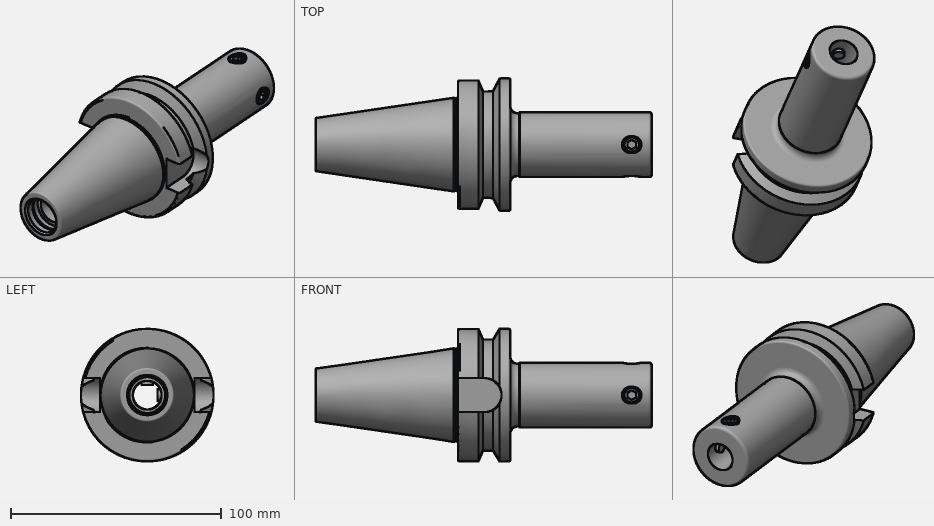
import cadquery as cq
import math

total_length = 159.4
gauge_x = 65.4
flange_x = 67.5
rear_land_end = 77.1
groove_start = 79.4
groove_end = 84.2
front_land_start = 87.2
flange_end = 92.3
neck_end = 96.5

taper_small_dia = 25.5
taper_large_dia = 44.5
relief_dia = 44.0
relief_fillet = 0.5
relief_step = 0.6
flange_dia = 63.0
groove_dia = 53.0
neck_dia = 30.0
neck_fillet = 3.2
shank_dia = 31.0
taper_edge = 0.8
flange_edge = 1.0
shank_start_edge = (shank_dia - neck_dia) / 2
shank_end_edge = 1.5

bore_dia = 13.5
mouth_dia = 17.0
mouth_depth = 8.6
mouth_edge_dia = 19.1
inner_mouth_dia = 17.5
mouth_edge = (mouth_edge_dia - mouth_dia) / 2
undercut_x = 4.8
undercut_dia = 18.0
undercut_width = 0.8

slot_width = 16.1
slot_floor = 22.5
slot_end = 88.1

screw_x = 149.8
screw_dia = 8.0
screw_top_dia = 6.9
screw_length = 10.2
screw_tip = 4.8
point_dia = 5.5
point_length = 4.0
screw_top = screw_tip + screw_length
top_edge = (screw_dia - screw_top_dia) / 2
socket_flats = 4.0
socket_depth = 2.4
sink_start = 14.8
sink_height = 1.6
screw_turns = (0, 90)


def turned_blank():
    """Taper, flange with gripper groove, neck and shank, revolved about X."""
    taper_r = taper_small_dia / 2
    relief_r = relief_dia / 2
    flange_r = flange_dia / 2
    groove_r = groove_dia / 2
    neck_r = neck_dia / 2
    shank_r = shank_dia / 2
    flange_shoulder_r = flange_r - flange_edge
    return (
        cq.Workplane("XY")
        .moveTo(0, 0)
        .lineTo(0, taper_r - taper_edge)
        .radiusArc((taper_edge, taper_r), taper_edge)
        .lineTo(gauge_x, taper_large_dia / 2)
        .lineTo(gauge_x + relief_step, relief_r)
        .lineTo(flange_x - relief_fillet, relief_r)
        .radiusArc((flange_x, relief_r + relief_fillet), -relief_fillet)
        .lineTo(flange_x, flange_shoulder_r)
        .radiusArc((flange_x + flange_edge, flange_r), flange_edge)
        .lineTo(rear_land_end, flange_r)
        .lineTo(groove_start, groove_r)
        .lineTo(groove_end, groove_r)
        .lineTo(front_land_start, flange_r)
        .lineTo(flange_end - flange_edge, flange_r)
        .radiusArc((flange_end, flange_shoulder_r), flange_edge)
        .lineTo(flange_end, neck_r + neck_fillet)
        .radiusArc((flange_end + neck_fillet, neck_r), -neck_fillet)
        .lineTo(neck_end, neck_r)
        .lineTo(neck_end + shank_start_edge, shank_r)
        .lineTo(total_length - shank_end_edge, shank_r)
        .radiusArc((total_length, shank_r - shank_end_edge), shank_end_edge)
        .lineTo(total_length, 0)
        .close()
        .revolve(360, (0, 0, 0), (1, 0, 0))
    )


def stepped_bore():
    """Chamfered mouth, undercut and plain through bore."""
    mouth_r = mouth_dia / 2
    undercut_r = undercut_dia / 2
    inner_mouth_r = inner_mouth_dia / 2
    undercut_end = undercut_x + undercut_width
    bore_r = bore_dia / 2
    return (
        cq.Workplane("XY")
        .moveTo(0, 0)
        .lineTo(0, mouth_edge_dia / 2)
        .lineTo(mouth_edge, mouth_r)
        .lineTo(undercut_x, mouth_r)
        .lineTo(undercut_x, undercut_r)
        .lineTo(undercut_end, undercut_r)
        .lineTo(undercut_end, inner_mouth_r)
        .lineTo(mouth_depth, inner_mouth_r)
        .lineTo(mouth_depth, bore_r)
        .lineTo(total_length, bore_r)
        .lineTo(total_length, 0)
        .close()
        .revolve(360, (0, 0, 0), (1, 0, 0))
    )


def drive_slot(side):
    """Round-ended slot cutter on the -Y (side = -1) or +Y (side = 1) flank."""
    half_width = slot_width / 2
    straight_end = slot_end - half_width
    return (
        cq.Workplane("XZ", origin=(0, side * slot_floor, 0))
        .moveTo(flange_x, -half_width)
        .lineTo(straight_end, -half_width)
        .threePointArc((slot_end, 0), (straight_end, half_width))
        .lineTo(flange_x, half_width)
        .close()
        .extrude(-side * flange_dia / 2)
    )


def screw_hole(turn):
    """Stepped radial hole that fits the screw, countersunk at the shank surface."""
    point_r = point_dia / 2
    screw_r = screw_dia / 2
    point_end = screw_tip + point_length
    sink_end = sink_start + sink_height
    return (
        cq.Workplane("XZ", origin=(screw_x, 0, 0))
        .moveTo(0, 0)
        .lineTo(point_r, 0)
        .lineTo(point_r, point_end)
        .lineTo(screw_r, point_end)
        .lineTo(screw_r, sink_start)
        .lineTo(screw_r + sink_height, sink_end)
        .lineTo(0, sink_end)
        .close()
        .revolve(360, (0, 0, 0), (0, 1, 0))
        .rotate((0, 0, 0), (1, 0, 0), turn)
    )


def set_screw(turn):
    """Headless screw with a dog point, a chamfered top and a hexagon socket."""
    socket_corners = socket_flats / math.cos(math.pi / 6)
    return (
        cq.Workplane("XY", origin=(screw_x, 0, screw_tip))
        .circle(point_dia / 2)
        .extrude(point_length)
        .faces(">Z")
        .workplane()
        .circle(screw_dia / 2)
        .extrude(screw_length - point_length)
        .faces(">Z")
        .chamfer(top_edge)
        .faces(">Z")
        .workplane()
        .transformed(rotate=(0, 0, 90))
        .polygon(6, socket_corners)
        .cutBlind(-socket_depth)
        .rotate((0, 0, 0), (1, 0, 0), turn)
    )


holder = turned_blank().cut(stepped_bore())
for slot_side in (-1, 1):
    holder = holder.cut(drive_slot(slot_side))
for screw_turn in screw_turns:
    holder = holder.cut(screw_hole(screw_turn))

set_screws = [set_screw(screw_turn).val() for screw_turn in screw_turns]

result = cq.Compound.makeCompound([holder.val(), *set_screws])